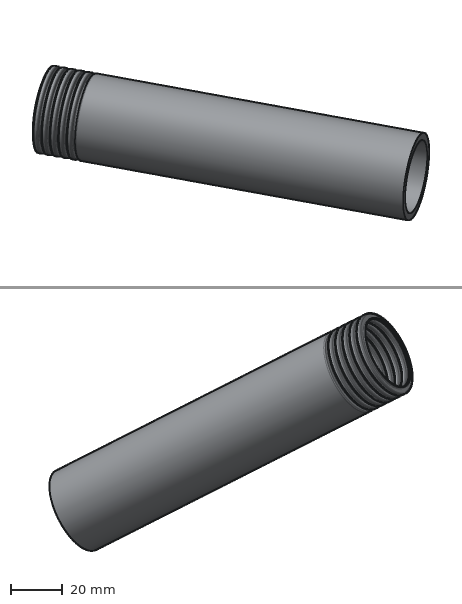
import cadquery as cq
import math

length = 150.0
outer_diameter = 34.4
wall = 0.38
bore_diameter = 28.6
bellows_length = 17.0
crest_count = 5
tube_start = 17.7
bend_outer_radius = 0.5

pitch = bellows_length / crest_count

crest_radius = (outer_diameter - wall) / 2
root_radius = (bore_diameter + wall) / 2
bend_radius = bend_outer_radius - wall / 2


def bellows_corners():
    """Sharp corners of the bellows wall's middle line, as (axial position, radius)."""
    corners = [(0, root_radius)]
    for index in range(crest_count):
        rise = index * pitch + pitch / 4
        fall = rise + pitch / 2
        corners += [
            (rise, root_radius),
            (rise, crest_radius),
            (fall, crest_radius),
            (fall, root_radius),
        ]
    return corners


def left_skin(corners):
    """Straight stretches of the skin half a wall to the left of the middle line.

    Each stretch is a start and an end point, cut back to leave room for the bends.
    """
    stretches = []
    last = len(corners) - 2
    for index, (start, end) in enumerate(zip(corners, corners[1:])):
        run = math.dist(start, end)
        along = ((end[0] - start[0]) / run, (end[1] - start[1]) / run)
        left = (-along[1] * wall / 2, along[0] * wall / 2)
        trim_start = 0 if index == 0 else bend_radius
        trim_end = 0 if index == last else bend_radius
        stretches.append([
            (start[0] + along[0] * distance + left[0], start[1] + along[1] * distance + left[1])
            for distance in (trim_start, run - trim_end)
        ])
    return stretches


def draw_skin(sketch, stretches):
    """Draw straight stretches joined by tangent quarter-circle bends."""
    sketch = sketch.lineTo(*stretches[0][1])
    for start, end in stretches[1:]:
        sketch = sketch.tangentArcPoint(start, relative=False).lineTo(*end)
    return sketch


bellows = bellows_corners()

step = tube_start + wall / 2
outside = left_skin(bellows + [(step, root_radius), (step, crest_radius), (length, crest_radius)])

inside = left_skin([(length, root_radius)] + bellows[::-1])

profile = cq.Workplane("XY").moveTo(*outside[0][0])
profile = draw_skin(profile, outside)
profile = profile.lineTo(*inside[0][0])
profile = draw_skin(profile, inside).close()

result = profile.revolve(360, (0, 0, 0), (1, 0, 0))